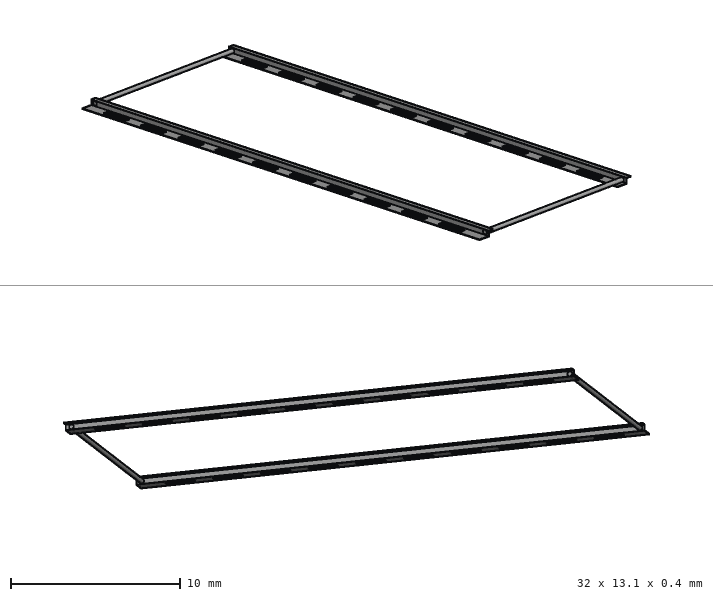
import cadquery as cq

LENGTH = 32.0
WIDTH = 13.12

ROD_DIAMETER = 0.298
ROD_LEFT_GAP = 0.13
ROD_RIGHT_GAP = 0.2
ROD_LEFT_X = ROD_LEFT_GAP + ROD_DIAMETER / 2
ROD_RIGHT_X = LENGTH - ROD_RIGHT_GAP - ROD_DIAMETER / 2

SHEET = 0.05
HEIGHT = ROD_DIAMETER + 2 * SHEET
RAIL_WIDTH = 1.15
TOP_FLANGE = 0.4
WEB_FRONT = RAIL_WIDTH - TOP_FLANGE
WEB_REAR = WEB_FRONT + SHEET
RAIL_PITCH = WIDTH - RAIL_WIDTH

SLOT_COUNT = 10
SLOT_LENGTH = 1.8
SLOT_WIDTH = 0.295
SLOT_FRONT_MARGIN = 0.27
FIRST_SLOT_START = 1.47
FIRST_TO_LAST_SLOT = 27.0
SLOT_PITCH = FIRST_TO_LAST_SLOT / (SLOT_COUNT - 1)


def rail(front_y):
    """Z-section rail: slotted low flange to the front, plain high flange to the rear."""
    section = [
        (0, 0),
        (WEB_REAR, 0),
        (WEB_REAR, HEIGHT - SHEET),
        (RAIL_WIDTH, HEIGHT - SHEET),
        (RAIL_WIDTH, HEIGHT),
        (WEB_FRONT, HEIGHT),
        (WEB_FRONT, SHEET),
        (0, SHEET),
    ]
    body = cq.Workplane("YZ").polyline(section).close().extrude(LENGTH)

    first_centre_x = FIRST_SLOT_START + SLOT_LENGTH / 2
    centre_y = SLOT_FRONT_MARGIN + SLOT_WIDTH / 2
    centres = [(first_centre_x + i * SLOT_PITCH, centre_y) for i in range(SLOT_COUNT)]
    slots = cq.Workplane("XY").pushPoints(centres).rect(SLOT_LENGTH, SLOT_WIDTH).extrude(SHEET)
    return body.cut(slots).translate((0, front_y, 0))


def rod(centre_x):
    """Cross rod from the front face of the front web to the rear face of the rear web."""
    rod_length = RAIL_PITCH + SHEET
    start = cq.Workplane("XZ", origin=(centre_x, WEB_FRONT, HEIGHT / 2))
    return start.circle(ROD_DIAMETER / 2).extrude(-rod_length)


frame = rail(0).union(rail(RAIL_PITCH))
for rod_x in (ROD_LEFT_X, ROD_RIGHT_X):
    frame = frame.union(rod(rod_x))

result = frame.translate((-LENGTH / 2, -WIDTH / 2, -HEIGHT / 2))